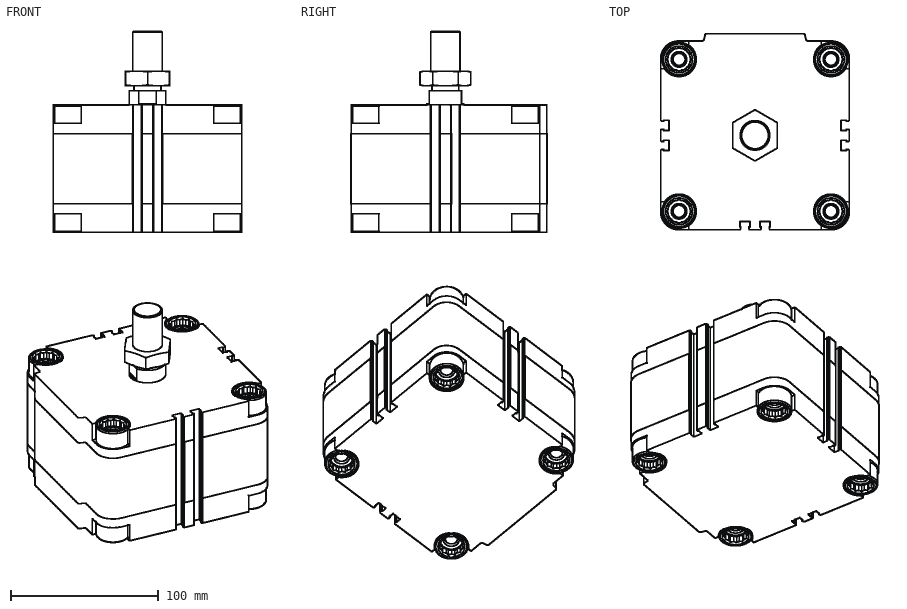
import cadquery as cq
import math


margin = 1.4

housing_width = 128.0
half_width = housing_width / 2
housing_height = 86.4
cap_height = 19.5
upper_cap_bottom = housing_height - cap_height
barrel_height = upper_cap_bottom - cap_height
cap_bottoms = (0, upper_cap_bottom)
cap_inset = 0.1
corner_radius = 12.5
screw_offset = half_width - corner_radius

rail_foot_half_width = 34.8
rail_top_half_width = 33.7
rail_height = 4.9
rail_fillet = 1.4

slot_depth = 5.6
slot_inner_edge = 3.4
slot_outer_edge = 10.1
lip_thickness = 2.0
outer_lip_edge = 9.5
barrel_rib_edge = 4.2
cap_rib_edge = barrel_rib_edge - cap_inset
lip_chamfer = 0.7
slot_side_angles = (0, 90, -90)

recess_depth = 12.5
recess_diameter = 23.3
recess_square = 19.0
head_diameter = 23.0
head_chamfer = 1.0
socket_point_diameter = 16.5
socket_mouth_diameter = 18.2
socket_depth = 6.0
relief_diameter = 15.4
relief_depth = 1.0
bore_mouth_diameter = 10.5
bore_diameter = 8.2
screw_centres = [(sx * screw_offset, sy * screw_offset) for sx in (-1, 1) for sy in (-1, 1)]

total_height = 136.5
collar_diameter = 25.0
collar_height = 9.7
flat_width = 22.0
flat_base_height = 1.0
neck_diameter = 18.4
thread_diameter = 20.0
thread_tip_diameter = 18.2
thread_tip_chamfer = 0.7

nut_bottom = 99.4
nut_height = 10.0
nut_across_flats = 30.0
nut_across_corners = nut_across_flats / math.cos(math.radians(30))
nut_chamfer_angle = 15


def cylinder(diameter, bottom, height):
    """Round bar on the Z axis, starting at the given height."""
    return cq.Workplane("XY", origin=(0, 0, bottom)).circle(diameter / 2).extrude(height)


def cone(bottom_diameter, top_diameter, top):
    """45-degree cone on the Z axis, widening up to the given height."""
    depth = (top_diameter - bottom_diameter) / 2
    base = cq.Vector(0, 0, top - depth)
    return cq.Workplane(cq.Solid.makeCone(bottom_diameter / 2, top_diameter / 2, depth, pnt=base))


def block(half_size, bottom, height):
    """Rounded square block with a rail of sloping flanks along its +Y side."""
    body = (
        cq.Workplane("XY", origin=(0, 0, bottom))
        .rect(2 * half_size, 2 * half_size)
        .extrude(height)
        .edges("|Z")
        .fillet(half_size - screw_offset)
    )
    rail_top = half_size + rail_height
    rail = (
        cq.Workplane("XY", origin=(0, 0, bottom))
        .moveTo(-rail_foot_half_width, 0)
        .lineTo(-rail_foot_half_width, half_size)
        .lineTo(-rail_top_half_width, rail_top)
        .lineTo(rail_top_half_width, rail_top)
        .lineTo(rail_foot_half_width, half_size)
        .lineTo(rail_foot_half_width, 0)
        .close()
        .extrude(height)
    )
    outline_edges = cq.selectors.BoxSelector(
        (-screw_offset, half_size - rail_fillet, bottom - margin),
        (screw_offset, rail_top + rail_fillet, bottom + height + margin),
    )
    return body.union(rail).edges("|Z").edges(outline_edges).fillet(rail_fillet)


def slot_cutter(rib_edge, bottom, height):
    """T-slot beside the +X flank of the rib on the -Y side, with chamfered lips."""
    face = -half_width
    lip_back = face + lip_thickness
    lip_front = face + lip_chamfer
    floor = face + slot_depth
    outside = face - margin
    return (
        cq.Workplane("XY", origin=(0, 0, bottom))
        .moveTo(rib_edge - lip_chamfer, outside)
        .lineTo(rib_edge - lip_chamfer, face)
        .lineTo(rib_edge, lip_front)
        .lineTo(rib_edge, lip_back)
        .lineTo(slot_inner_edge, lip_back)
        .lineTo(slot_inner_edge, floor)
        .lineTo(slot_outer_edge, floor)
        .lineTo(slot_outer_edge, lip_back)
        .lineTo(outer_lip_edge, lip_back)
        .lineTo(outer_lip_edge, lip_front)
        .lineTo(outer_lip_edge + lip_chamfer, face)
        .lineTo(outer_lip_edge + lip_chamfer, outside)
        .close()
        .extrude(height)
    )


def slot_pair():
    """Both slots of the -Y side; the rib is wider along the barrel than along the caps."""
    slot = slot_cutter(barrel_rib_edge, 0, housing_height)
    for bottom in cap_bottoms:
        slot = slot.union(slot_cutter(cap_rib_edge, bottom, cap_height))
    return slot.union(slot.mirror("YZ"))


def corner_recess():
    """Round pocket around a top screw head, open to the nearby outer corner."""
    floor = housing_height - recess_depth
    pocket = cylinder(recess_diameter, floor, recess_depth)
    square_centre = corner_radius - recess_square / 2
    corner = (
        cq.Workplane("XY", origin=(0, 0, floor))
        .center(square_centre, square_centre)
        .rect(recess_square, recess_square)
        .extrude(recess_depth)
    )
    return pocket.union(corner)


def screw_head():
    """Chamfered head on the recess floor, with a twelve-point socket above a round relief."""
    head = (
        cylinder(head_diameter, housing_height - recess_depth, recess_depth)
        .faces(">Z")
        .chamfer(head_chamfer)
    )
    socket_bottom = cq.Workplane("XY", origin=(0, 0, housing_height - socket_depth))
    hexagon = socket_bottom.polygon(6, socket_point_diameter).extrude(socket_depth)
    relief_floor = housing_height - socket_depth - relief_depth
    return (
        head.cut(hexagon)
        .cut(hexagon.rotate((0, 0, 0), (0, 0, 1), 30))
        .cut(cone(relief_diameter, socket_mouth_diameter, housing_height))
        .cut(cylinder(relief_diameter, relief_floor, relief_depth))
        .cut(cone(bore_diameter, bore_mouth_diameter, relief_floor))
    )


def at_both_ends(tool):
    """The shape at the top end together with its mirror image at the bottom end."""
    return [tool, tool.mirror("XY", (0, 0, housing_height / 2))]


def make_housing():
    cap_half_width = half_width - cap_inset
    body = block(half_width, cap_height, barrel_height)
    for bottom in cap_bottoms:
        body = body.union(block(cap_half_width, bottom, cap_height))
    for angle in slot_side_angles:
        body = body.cut(slot_pair().rotate((0, 0, 0), (0, 0, 1), angle))
    for x, y in screw_centres:
        corner_angle = math.degrees(math.atan2(y, x)) - 45
        recess = corner_recess().rotate((0, 0, 0), (0, 0, 1), corner_angle)
        for tool in at_both_ends(recess.translate((x, y, 0))):
            body = body.cut(tool)
        for head in at_both_ends(screw_head().translate((x, y, 0))):
            body = body.union(head)
    bores = cq.Workplane("XY").pushPoints(screw_centres).circle(bore_diameter / 2).extrude(housing_height)
    return body.cut(bores)


def make_piston_rod():
    """Rod standing on the housing: flatted collar, neck and threaded end."""
    collar_top = housing_height + collar_height
    flats = (
        cq.Workplane("XY", origin=(0, 0, housing_height + flat_base_height))
        .rect(collar_diameter, flat_width)
        .extrude(collar_height - flat_base_height)
    )
    collar = cylinder(collar_diameter, housing_height, collar_height).intersect(flats)
    base = cylinder(collar_diameter, housing_height, flat_base_height)
    neck = cylinder(neck_diameter, collar_top, nut_bottom - collar_top)
    thread = (
        cylinder(thread_diameter, nut_bottom, total_height - nut_bottom)
        .faces(">Z")
        .chamfer(thread_tip_chamfer, (thread_diameter - thread_tip_diameter) / 2)
    )
    return base.union(collar).union(neck).union(thread)


def make_nut():
    """Hexagon nut with corners along Y, conically chamfered at both ends."""
    nut = (
        cq.Workplane("XY", origin=(0, 0, nut_bottom))
        .polygon(6, nut_across_corners)
        .extrude(nut_height)
        .rotate((0, 0, 0), (0, 0, 1), 30)
    )
    flat_radius = nut_across_flats / 2
    corner_reach = nut_across_corners / 2
    chamfer_height = (corner_reach - flat_radius) * math.tan(math.radians(nut_chamfer_angle))
    nut_top = nut_bottom + nut_height
    envelope = (
        cq.Workplane("XZ")
        .moveTo(0, nut_bottom)
        .lineTo(flat_radius, nut_bottom)
        .lineTo(corner_reach, nut_bottom + chamfer_height)
        .lineTo(corner_reach, nut_top - chamfer_height)
        .lineTo(flat_radius, nut_top)
        .lineTo(0, nut_top)
        .close()
        .revolve(360, (0, 0, 0), (0, 1, 0))
    )
    bore = cylinder(thread_diameter, nut_bottom, nut_height)
    return nut.intersect(envelope).cut(bore)


housing = make_housing()
piston_rod = make_piston_rod()
nut = make_nut()

result = cq.Compound.makeCompound([housing.val(), piston_rod.val(), nut.val()])